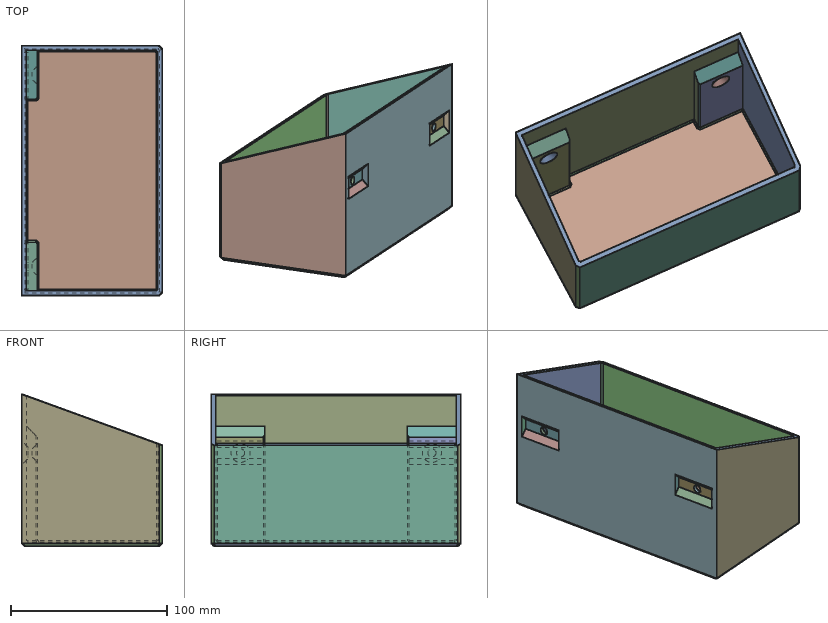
import math

import cadquery as cq

DEPTH = 90.0
WIDTH = 160.0
BACK_HEIGHT = 97.5
RIM_ANGLE = 20.0
OUTER_CHAMFER = 2.0
FRONT_HEIGHT = BACK_HEIGHT - DEPTH * math.tan(math.radians(RIM_ANGLE))

WALL = 3.0
FLOOR = 3.0
CAVITY_CHAMFER = 1.0

BOSS_FACE_X = 10.0
BOSS_LENGTH = 34.3
BOSS_MARGIN = 10.0

MOUNT_Z = 59.97
MOUNT_EDGE_DISTANCE = 18.75
MOUNT_Y = WIDTH / 2 - MOUNT_EDGE_DISTANCE

POCKET_WIDTH = 29.3
POCKET_MOUTH_HEIGHT = 15.1
POCKET_DEPTH = 4.0
POCKET_SEAT_HEIGHT = POCKET_MOUTH_HEIGHT - 2 * POCKET_DEPTH

SCREW_DIAMETER = 5.2
SCREW_LAND = 2.5
COUNTERSINK_START_X = POCKET_DEPTH + SCREW_LAND
COUNTERSINK_DEPTH = BOSS_FACE_X - COUNTERSINK_START_X
COUNTERSINK_DIAMETER = SCREW_DIAMETER + 2 * COUNTERSINK_DEPTH

SIDES = (-1, 1)


def side_profile_solid(points, width):
    """Extrude an XZ outline symmetrically about the Y = 0 plane."""
    return cq.Workplane("XZ").polyline(points).close().extrude(width / 2, both=True)


def make_body():
    """Outer block with a sloped top, chamfered front corners and bottom edges."""
    outline = [(0, 0), (DEPTH, 0), (DEPTH, FRONT_HEIGHT), (0, BACK_HEIGHT)]
    body = side_profile_solid(outline, WIDTH)
    body = body.edges("|Z and >X").chamfer(OUTER_CHAMFER)
    return body.faces("<Z").edges().chamfer(OUTER_CHAMFER)


def make_boss(side):
    """Boss in one back corner of the cavity, with a 45 degree sloped top."""
    face_top_z = MOUNT_Z + BOSS_MARGIN
    back_top_z = face_top_z + BOSS_FACE_X
    outline = [(0, 0), (BOSS_FACE_X, 0), (BOSS_FACE_X, face_top_z), (0, back_top_z)]
    boss = side_profile_solid(outline, BOSS_LENGTH)
    boss = boss.translate((0, side * (WIDTH - BOSS_LENGTH) / 2, 0))
    free_end = "<Y" if side > 0 else ">Y"
    return boss.faces(free_end).edges("|Z and >X").chamfer(CAVITY_CHAMFER)


def make_cavity():
    """Inner space, leaving the bosses and a chamfer all around the floor."""
    cavity = (
        cq.Workplane("XY")
        .box(DEPTH - 2 * WALL, WIDTH - 2 * WALL, BACK_HEIGHT, centered=(False, True, False))
        .translate((WALL, 0, FLOOR))
        .edges("|Z and >X")
        .chamfer(CAVITY_CHAMFER)
    )
    for side in SIDES:
        cavity = cavity.cut(make_boss(side))
    return cavity.faces("<Z").edges().chamfer(CAVITY_CHAMFER)


def make_mount_cutter(side):
    """Tapered pocket in the back face with a countersunk hole through its seat."""
    mouth = POCKET_MOUTH_HEIGHT / 2
    seat = POCKET_SEAT_HEIGHT / 2
    outline = [(0, -mouth), (POCKET_DEPTH, -seat), (POCKET_DEPTH, seat), (0, mouth)]
    pocket = side_profile_solid(outline, POCKET_WIDTH)
    hole = cq.Workplane("YZ").circle(SCREW_DIAMETER / 2).extrude(COUNTERSINK_START_X)
    countersink = (
        cq.Workplane("YZ", origin=(COUNTERSINK_START_X, 0, 0))
        .circle(SCREW_DIAMETER / 2)
        .workplane(offset=COUNTERSINK_DEPTH)
        .circle(COUNTERSINK_DIAMETER / 2)
        .loft()
    )
    cutter = pocket.union(hole).union(countersink)
    return cutter.translate((0, side * MOUNT_Y, MOUNT_Z))


result = make_body().cut(make_cavity())
for mount_side in SIDES:
    result = result.cut(make_mount_cutter(mount_side))